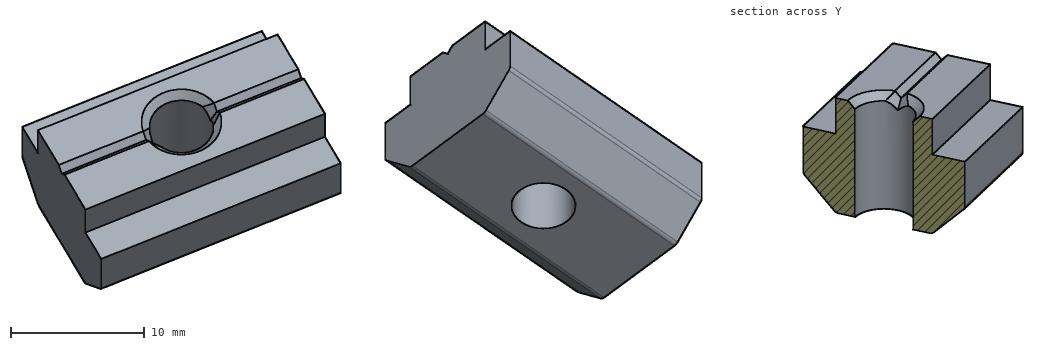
import cadquery as cq
import math

length = 20.0
base_width = 13.5
total_height = 9.7

head_width = 8.1
head_height = 3.0
bottom_width = 8.0
bevel_angle = 45.0
corner_radius = 0.5

groove_depth = 0.5

hole_diameter = 4.8
rim_chamfer = 0.6

shoulder_height = total_height - head_height
bevel_width = (base_width - bottom_width) / 2
bevel_height = bevel_width * math.tan(math.radians(bevel_angle))


def make_body():
    """T-shaped bar centred on X and Y, with rounded bevel corners."""
    half_base = base_width / 2
    half_head = head_width / 2
    half_bottom = bottom_width / 2
    body = (
        cq.Workplane("XZ")
        .moveTo(-half_bottom, 0)
        .lineTo(half_bottom, 0)
        .lineTo(half_base, bevel_height)
        .lineTo(half_base, shoulder_height)
        .lineTo(half_head, shoulder_height)
        .lineTo(half_head, total_height)
        .lineTo(-half_head, total_height)
        .lineTo(-half_head, shoulder_height)
        .lineTo(-half_base, shoulder_height)
        .lineTo(-half_base, bevel_height)
        .close()
        .extrude(length / 2, both=True)
    )
    bevel_corners = cq.selectors.BoxSelector(
        (-base_width, -length, -bevel_height / 2),
        (base_width, length, (bevel_height + shoulder_height) / 2),
    )
    return body.edges("|Y").edges(bevel_corners).fillet(corner_radius)


def groove_section(y_position, depth):
    """Right-angled V, cut down from the top face, in the plane at the given Y."""
    corners = [
        cq.Vector(-depth, y_position, total_height),
        cq.Vector(0, y_position, total_height - depth),
        cq.Vector(depth, y_position, total_height),
    ]
    return cq.Wire.makePolygon(corners, close=True)


def make_v_cutter(start_y, start_depth, end_y, end_depth):
    """Straight-sided V cutter between two sections of the groove."""
    sections = [groove_section(start_y, start_depth), groove_section(end_y, end_depth)]
    return cq.Workplane(cq.Solid.makeLoft(sections, True))


def make_groove():
    """Cutter for the V-shaped marking groove running the full length."""
    return make_v_cutter(-length / 2, groove_depth, length / 2, groove_depth)


def make_hole():
    """Cutter for the through hole and the conical chamfer on its top rim."""
    hole_radius = hole_diameter / 2
    return (
        cq.Workplane("XZ")
        .lineTo(hole_radius, 0)
        .lineTo(hole_radius, total_height - rim_chamfer)
        .lineTo(hole_radius + rim_chamfer, total_height)
        .lineTo(0, total_height)
        .close()
        .revolve(360, (0, 0, 0), (0, 1, 0))
    )


def make_groove_mouth(side):
    """Cutter that carries the rim chamfer across one end of the groove.

    The V deepens towards the hole axis, so that the rim chamfer keeps the same
    leg length measured square to the sloping groove walls.
    """
    chamfer_radius = hole_diameter / 2 + rim_chamfer
    mouth_y = math.sqrt(chamfer_radius**2 - groove_depth**2)
    vertical_drop = rim_chamfer * math.sqrt(2)
    chamfer_lengths = 2
    inner_y = mouth_y - chamfer_lengths * rim_chamfer
    inner_depth = groove_depth + chamfer_lengths * vertical_drop
    return make_v_cutter(side * mouth_y, groove_depth, side * inner_y, inner_depth)


result = make_body().cut(make_groove()).cut(make_hole())
for side in (-1, 1):
    result = result.cut(make_groove_mouth(side))